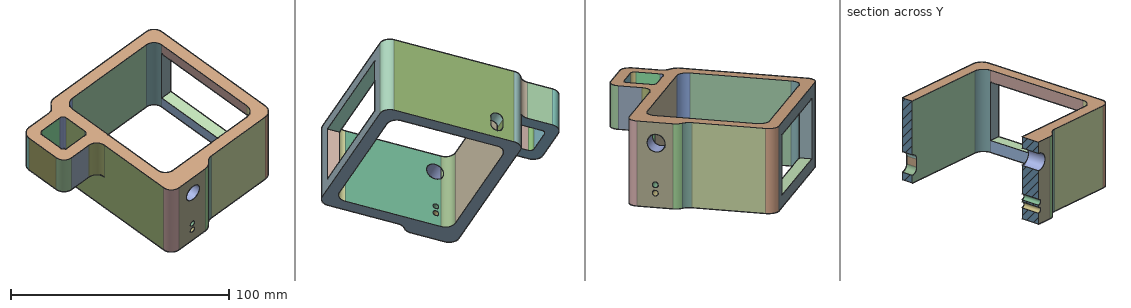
import cadquery as cq
import math

height = 41.0
wall = 6.0
inner_width = 65.0
inner_depth = 57.8
corner_radius = 5.0
frame_width = inner_width + 2 * wall
frame_depth = inner_depth + 2 * wall

pad_thickness = 3.8
pad_depth = 27.0
pad_right = frame_width + pad_thickness

socket_left = 5.0
socket_wall = 5.7
socket_opening_width = 16.0
socket_opening_depth = 15.5
socket_opening_radius = 2.0
socket_height = 21.0
socket_width = socket_opening_width + 2 * socket_wall
socket_right = socket_left + socket_width
socket_reach = socket_opening_depth + socket_wall

passage_y = 13.65
passage_z = 9.0
slot_width = 6.0
slot_height = 10.0
pin_diameter = 2.7
pin_spacing = slot_height - slot_width

bore_diameter = 8.5
bore_y = 14.0
bore_z = 31.0


def blend_rise(offset):
    """Length of an S-bend of two tangent corner arcs that shifts a wall by offset."""
    return math.sqrt((2 * corner_radius) ** 2 - (2 * corner_radius - offset) ** 2)


def outline():
    """Outer contour seen from above, counterclockwise from the socket's front left."""
    r = corner_radius
    diagonal = r * math.sqrt(0.5)

    socket_bend_y = r - blend_rise(socket_left)
    socket_bend_angle = math.atan2(blend_rise(socket_left), 2 * r - socket_left)
    socket_bend_middle = (socket_left / 2, (r + socket_bend_y) / 2)
    half = socket_bend_angle / 2
    socket_concave_mid = (socket_left - r + r * math.cos(half), socket_bend_y + r * math.sin(half))
    frame_convex_mid = (r - r * math.cos(half), r - r * math.sin(half))

    pad_bend_start = pad_depth - r
    pad_bend_end = pad_bend_start + blend_rise(pad_thickness)
    half = math.atan2(blend_rise(pad_thickness), 2 * r - pad_thickness) / 2
    pad_convex_mid = (pad_right - r + r * math.cos(half), pad_bend_start + r * math.sin(half))
    pad_bend_middle = (frame_width + pad_thickness / 2, (pad_bend_start + pad_bend_end) / 2)
    pad_concave_mid = (frame_width + r - r * math.cos(half), pad_bend_end - r * math.sin(half))

    def corner(path, center, middle_signs, end):
        middle = (center[0] + middle_signs[0] * diagonal, center[1] + middle_signs[1] * diagonal)
        return path.threePointArc(middle, end)

    path = cq.Workplane("XY").moveTo(socket_left + r, -socket_reach)
    path = path.lineTo(socket_right - r, -socket_reach)
    path = corner(path, (socket_right - r, r - socket_reach), (1, -1), (socket_right, r - socket_reach))
    path = path.lineTo(socket_right, -r)
    path = corner(path, (socket_right + r, -r), (-1, 1), (socket_right + r, 0))
    path = path.lineTo(pad_right - r, 0)
    path = corner(path, (pad_right - r, r), (1, -1), (pad_right, r))
    path = path.lineTo(pad_right, pad_bend_start)
    path = path.threePointArc(pad_convex_mid, pad_bend_middle)
    path = path.threePointArc(pad_concave_mid, (frame_width, pad_bend_end))
    path = path.lineTo(frame_width, frame_depth - r)
    path = corner(path, (frame_width - r, frame_depth - r), (1, 1), (frame_width - r, frame_depth))
    path = path.lineTo(r, frame_depth)
    path = corner(path, (r, frame_depth - r), (-1, 1), (0, frame_depth - r))
    path = path.lineTo(0, r)
    path = path.threePointArc(frame_convex_mid, socket_bend_middle)
    path = path.threePointArc(socket_concave_mid, (socket_left, socket_bend_y))
    path = path.lineTo(socket_left, r - socket_reach)
    path = corner(path, (socket_left + r, r - socket_reach), (-1, -1), (socket_left + r, -socket_reach))
    return path.close()


def box(x, y, z, width, depth, tall):
    """Box with its lowest corner at (x, y, z)."""
    return cq.Workplane("XY").box(width, depth, tall, centered=False).translate((x, y, z))


def side_plane(x, y, z):
    """Sketch plane facing +X with its origin at (x, y, z)."""
    return cq.Workplane("YZ", origin=(x, y, z))


body = outline().extrude(height)
body = body.cut(box(0, -socket_reach, 0, pad_right, socket_reach, height - socket_height))

frame_opening = box(wall, wall, 0, inner_width, inner_depth, height).edges("|Z").fillet(corner_radius)
socket_opening = box(
    socket_left + socket_wall, -socket_opening_depth, 0, socket_opening_width, socket_opening_depth, height
)
socket_opening = socket_opening.edges("|Z").fillet(socket_opening_radius)
body = body.cut(frame_opening).cut(socket_opening)

window_left = wall + corner_radius
window_width = inner_width - 2 * corner_radius
body = body.cut(box(window_left, frame_depth - wall, wall, window_width, wall, height - 2 * wall))

slot = side_plane(0, passage_y, passage_z).slot2D(slot_height, slot_width, 90).extrude(wall)

inner_right = wall + inner_width
pad_wall = pad_right - inner_right
pin_places = [(0, -pin_spacing / 2), (0, pin_spacing / 2)]
pin_plane = side_plane(inner_right, passage_y, passage_z)
pins = pin_plane.pushPoints(pin_places).circle(pin_diameter / 2).extrude(pad_wall)
bore = side_plane(inner_right, bore_y, bore_z).circle(bore_diameter / 2).extrude(pad_wall)

result = body.cut(slot).cut(pins).cut(bore)